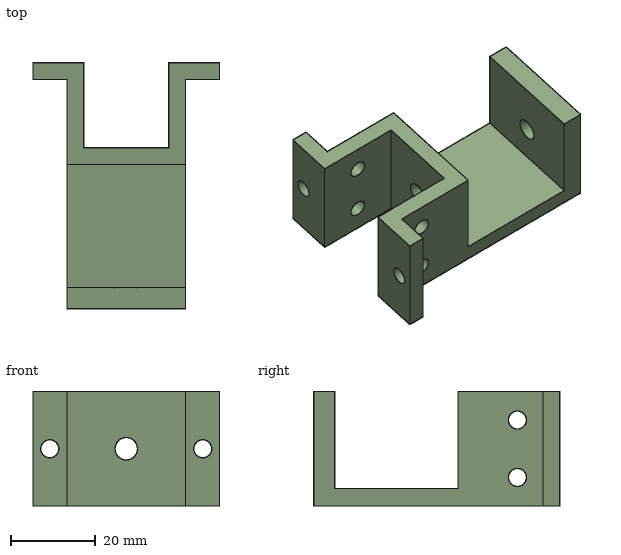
import cadquery as cq

total_width = 44.0
total_length = 58.0
height = 27.0

wall = 4.0
floor_thickness = 4.2
front_plate_thickness = 5.0

body_width = 28.0
channel_width = body_width - 2 * wall
channel_depth = 20.0
block_depth = channel_depth + wall
bay_length = total_length - block_depth - front_plate_thickness

axial_hole_diameter = 5.2
mount_hole_diameter = 4.2
mount_hole_spacing = (total_width + body_width) / 2
side_hole_from_back = channel_depth / 2
side_hole_heights = (height / 4, height * 3 / 4)

back_y = total_length


def box(width, length, tall, start_y, start_z=0):
    """Block centred on X, starting at the given Y and Z."""
    return (
        cq.Workplane("XY")
        .box(width, length, tall, centered=(True, False, False))
        .translate((0, start_y, start_z))
    )


def hole_along_y(x, z, diameter, start_y, length):
    """Cylinder running towards +Y."""
    return cq.Workplane(
        cq.Solid.makeCylinder(diameter / 2, length, cq.Vector(x, start_y, z), cq.Vector(0, 1, 0))
    )


def hole_along_x(y, z, diameter):
    """Cylinder running across the full width."""
    start = cq.Vector(-total_width / 2, y, z)
    return cq.Workplane(cq.Solid.makeCylinder(diameter / 2, total_width, start, cq.Vector(1, 0, 0)))


bracket = box(body_width, total_length, height, 0)
bracket = bracket.union(box(total_width, wall, height, back_y - wall))

bracket = bracket.cut(box(channel_width, channel_depth, height, back_y - channel_depth))

bay_height = height - floor_thickness
bracket = bracket.cut(box(body_width, bay_length, bay_height, front_plate_thickness, floor_thickness))

bracket = bracket.cut(hole_along_y(0, height / 2, axial_hole_diameter, 0, total_length))

for side in (-1, 1):
    flange_hole_x = side * mount_hole_spacing / 2
    bracket = bracket.cut(
        hole_along_y(flange_hole_x, height / 2, mount_hole_diameter, back_y - wall, wall)
    )

for hole_z in side_hole_heights:
    bracket = bracket.cut(hole_along_x(back_y - side_hole_from_back, hole_z, mount_hole_diameter))

result = bracket